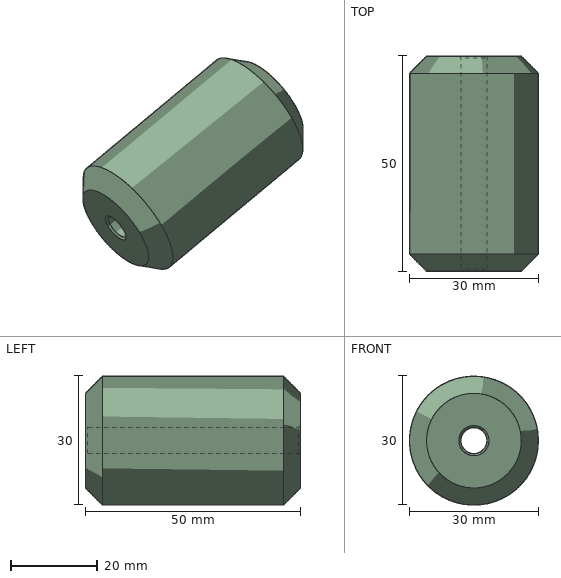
import cadquery as cq

length = 50
outer_diameter = 30
end_chamfer = 4
bore_diameter = 6
bore_chamfer = 0.5


def make_body():
    """Cylinder centred on the origin, with both end rims bevelled."""
    end_plane = cq.Workplane("XZ", origin=(0, length / 2, 0))
    cylinder = end_plane.circle(outer_diameter / 2).extrude(length)
    return cylinder.faces("<Y or >Y").edges().chamfer(end_chamfer)


def make_bore():
    """Through bore that flares at each end to form the countersinks."""
    bore_radius = bore_diameter / 2
    mouth_radius = bore_radius + bore_chamfer
    half_length = length / 2
    flare_start = half_length - bore_chamfer
    profile = [
        (0, -half_length),
        (mouth_radius, -half_length),
        (bore_radius, -flare_start),
        (bore_radius, flare_start),
        (mouth_radius, half_length),
        (0, half_length),
    ]
    return cq.Workplane("XY").polyline(profile).close().revolve(360, (0, 0, 0), (0, 1, 0))


result = make_body().cut(make_bore())